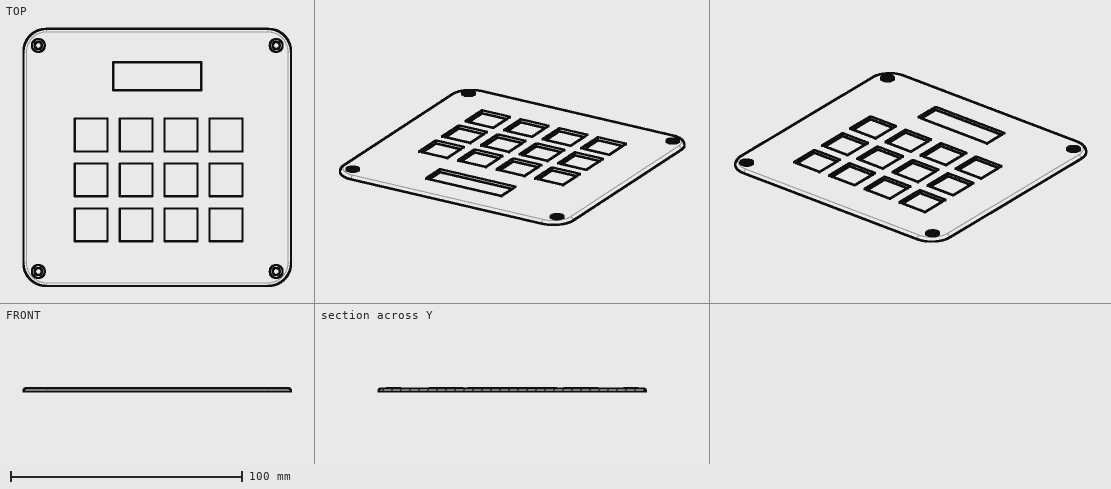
import cadquery as cq

LENGTH = 115.9
WIDTH = 111.4
THICKNESS = 1.5
CORNER_RADIUS = 10.0
EDGE_RADIUS = 1.4

KEY_SIZE = 14.1
KEY_PITCH = 19.5
KEY_COLUMNS = 4
KEY_ROWS = 3
KEYPAD_X = 0.6
KEYPAD_Y = -9.7

WINDOW_LENGTH = 38.0
WINDOW_WIDTH = 11.9
WINDOW_Y = 35.1

SCREW_DIAMETER = 3.0
HEAD_DIAMETER = 5.6
HEAD_DEPTH = 0.8
SCREW_X = 51.5
SCREW_Y_BACK = 48.5
SCREW_Y_FRONT = -49.4


def rounded_plate():
    """Plate on Z = 0 with rounded corners and a rounded top edge."""
    return (
        cq.Workplane("XY")
        .rect(LENGTH, WIDTH)
        .extrude(THICKNESS)
        .edges("|Z")
        .fillet(CORNER_RADIUS)
        .faces(">Z")
        .edges()
        .fillet(EDGE_RADIUS)
    )


def key_openings():
    """Grid of square cutters for the keys."""
    return (
        cq.Workplane("XY")
        .center(KEYPAD_X, KEYPAD_Y)
        .rarray(KEY_PITCH, KEY_PITCH, KEY_COLUMNS, KEY_ROWS)
        .rect(KEY_SIZE, KEY_SIZE)
        .extrude(THICKNESS)
    )


def display_window():
    """Rectangular cutter for the display."""
    return (
        cq.Workplane("XY")
        .center(0, WINDOW_Y)
        .rect(WINDOW_LENGTH, WINDOW_WIDTH)
        .extrude(THICKNESS)
    )


def add_screw_holes(plate):
    """Drill the four counterbored holes from the top face."""
    positions = [(x, y) for x in (-SCREW_X, SCREW_X) for y in (SCREW_Y_FRONT, SCREW_Y_BACK)]
    return (
        plate.faces(">Z")
        .workplane(origin=(0, 0, THICKNESS))
        .pushPoints(positions)
        .cboreHole(SCREW_DIAMETER, HEAD_DIAMETER, HEAD_DEPTH)
    )


plate = rounded_plate().cut(key_openings()).cut(display_window())
result = add_screw_holes(plate)